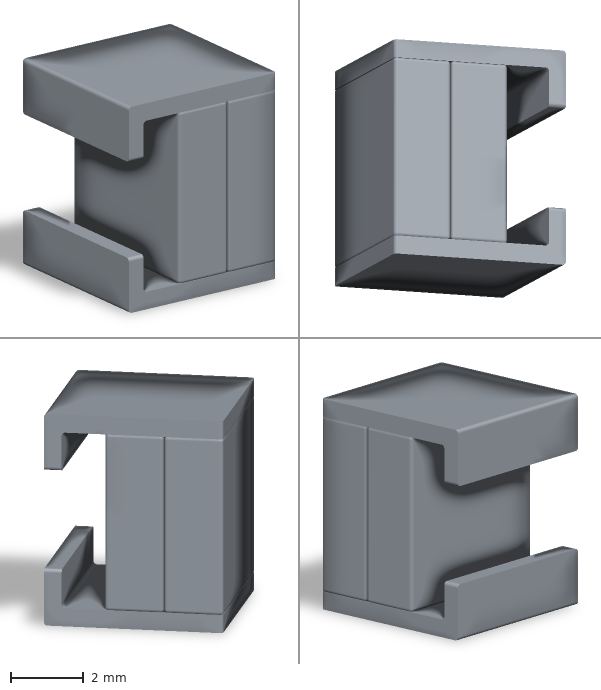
import cadquery as cq

width = 5.0
depth = 5.0
height = 6.0

plate_thickness = 0.51
lip_thickness = 0.5
lip_height = 1.6

block_count = 2
block_depth = 1.65
seat_depth = 0.025
block_height = height - 2 * (plate_thickness - seat_depth)

edge_radius = 0.1

front_y = -depth / 2
rear_y = depth / 2


def make_upper_bracket():
    """L-shaped bracket with its plate on top and its lip hanging at the front."""
    top_z = height / 2
    plate_bottom_z = top_z - plate_thickness
    lip_bottom_z = top_z - lip_height
    lip_rear_y = front_y + lip_thickness
    bracket = (
        cq.Workplane("YZ")
        .polyline([
            (front_y, top_z),
            (rear_y, top_z),
            (rear_y, plate_bottom_z),
            (lip_rear_y, plate_bottom_z),
            (lip_rear_y, lip_bottom_z),
            (front_y, lip_bottom_z),
        ])
        .close()
        .extrude(width / 2, both=True)
    )
    outer_bend = cq.selectors.NearestToPointSelector((0, front_y, top_z))
    inner_bend = cq.selectors.NearestToPointSelector((0, lip_rear_y, plate_bottom_z))
    bracket = bracket.edges(outer_bend).fillet(edge_radius)
    bracket = bracket.edges(inner_bend).fillet(edge_radius)
    bracket = bracket.faces(">Y").edges("|Z").fillet(edge_radius)
    return bracket.faces("<Z").edges("|Y").fillet(edge_radius)


def make_block(index):
    """Block counted from the rear, with all its edges rounded."""
    center_y = rear_y - (index + 0.5) * block_depth
    return (
        cq.Workplane("XY")
        .box(width, block_depth, block_height)
        .edges()
        .fillet(edge_radius)
        .translate((0, center_y, 0))
    )


blocks = [make_block(index) for index in range(block_count)]

upper_bracket = make_upper_bracket()
for block in blocks:
    upper_bracket = upper_bracket.cut(block)
lower_bracket = upper_bracket.mirror("XY")

result = cq.Compound.makeCompound([
    upper_bracket.val(),
    lower_bracket.val(),
    *[block.val() for block in blocks],
])